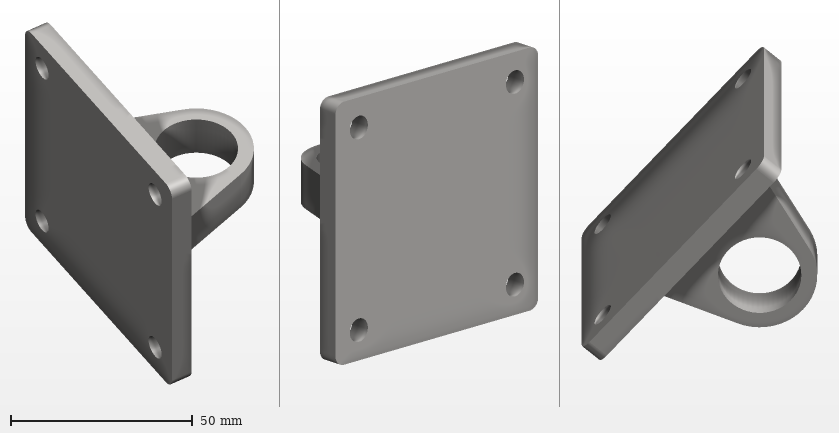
import cadquery as cq
import math

plate_side = 76.2
plate_thickness = 6.3
corner_radius = 3.2
bolt_spacing = 58.7
bolt_hole_diameter = 6.8

lug_thickness = 12.7
lug_base_width = 50.8
lug_reach = 25.4
lug_tip_radius = 15.85
eye_diameter = 22.9


def make_plate():
    """Rounded plate with its back face on Y = 0 and four bolt holes."""
    return (
        cq.Workplane("XZ")
        .rect(plate_side, plate_side)
        .extrude(plate_thickness)
        .edges("|Y")
        .fillet(corner_radius)
        .faces("<Y")
        .workplane(centerOption="CenterOfBoundBox")
        .rect(bolt_spacing, bolt_spacing, forConstruction=True)
        .vertices()
        .hole(bolt_hole_diameter)
    )


def make_lug():
    """Lug whose straight flanks run tangent into the rounded tip."""
    half_base = lug_base_width / 2
    corner_distance = math.hypot(half_base, lug_reach)
    corner_angle = math.atan2(-lug_reach, half_base)
    tangent_angle = corner_angle + math.acos(lug_tip_radius / corner_distance)
    tangent_x = lug_tip_radius * math.cos(tangent_angle)
    tangent_y = lug_reach + lug_tip_radius * math.sin(tangent_angle)

    return (
        cq.Workplane("XY")
        .moveTo(-half_base, 0)
        .lineTo(half_base, 0)
        .lineTo(tangent_x, tangent_y)
        .threePointArc((0, lug_reach + lug_tip_radius), (-tangent_x, tangent_y))
        .close()
        .moveTo(0, lug_reach)
        .circle(eye_diameter / 2)
        .extrude(lug_thickness / 2, both=True)
    )


result = make_plate().union(make_lug())